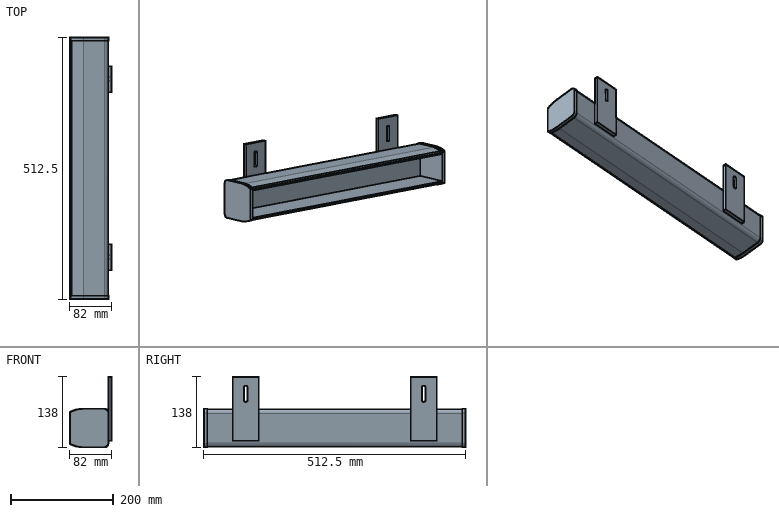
import cadquery as cq
import math

LENGTH = 512.5
CAP_THICKNESS = 6.5
CAP_DEPTH = 76.0
CAP_HEIGHT = 76.0
TOTAL_DEPTH = 82.0
TOTAL_HEIGHT = 138.0
HALF_HEIGHT = CAP_HEIGHT / 2

CROWN_START = 26.5
CROWN_DROP = 5.5
NOSE_SIZE = 1.5
BACK_RADIUS = 8.0

HOUSING_BACK = 75.5
HOUSING_INSET = 1.0
HOUSING_SLOPE_END = 3.5
HOUSING_SLOPE_DROP = 5.0
LIP_DROP = 7.5
OPENING_DROP = 11.0
BACK_WALL = 11.0

BRACKET_WIDTH = 51.5
BRACKET_BOTTOM = 13.0
BRACKET_END_OFFSET = 56.5
SLOT_WIDTH = 6.5
SLOT_LENGTH = 31.5
SLOT_TOP_OFFSET = 17.5

HOUSING_LENGTH = LENGTH - 2 * CAP_THICKNESS
HOUSING_BACK_RADIUS = BACK_RADIUS - (CAP_DEPTH - HOUSING_BACK)
BRACKET_THICKNESS = TOTAL_DEPTH - HOUSING_BACK
BRACKET_HEIGHT = TOTAL_HEIGHT - BRACKET_BOTTOM


def extrude_along_y(profile, start, length):
    """Extrude an XZ profile towards +Y, beginning at Y = start."""
    return profile.extrude(-length).translate((0, start, 0))


def make_cap(start):
    """End plate with curved front slopes and rounded back edges."""
    slope_run = CROWN_START - NOSE_SIZE
    slope_z = HALF_HEIGHT - CROWN_DROP
    radius = (slope_run**2 + CROWN_DROP**2) / (2 * CROWN_DROP)
    half_angle = math.asin(slope_run / radius) / 2
    mid_x = CROWN_START - radius * math.sin(half_angle)
    mid_z = HALF_HEIGHT - radius * (1 - math.cos(half_angle))
    profile = (
        cq.Workplane("XZ")
        .moveTo(CAP_DEPTH, -HALF_HEIGHT)
        .lineTo(CAP_DEPTH, HALF_HEIGHT)
        .lineTo(CROWN_START, HALF_HEIGHT)
        .threePointArc((mid_x, mid_z), (NOSE_SIZE, slope_z))
        .lineTo(0, slope_z - NOSE_SIZE)
        .lineTo(0, NOSE_SIZE - slope_z)
        .lineTo(NOSE_SIZE, -slope_z)
        .threePointArc((mid_x, -mid_z), (CROWN_START, -HALF_HEIGHT))
        .close()
    )
    cap = extrude_along_y(profile, start, CAP_THICKNESS)
    return cap.edges("|Y and >X").fillet(BACK_RADIUS)


def make_housing():
    """Channel between the caps, open at the front along its whole length."""
    top = HALF_HEIGHT - HOUSING_INSET
    slope_z = HALF_HEIGHT - HOUSING_SLOPE_DROP
    lip_z = HALF_HEIGHT - LIP_DROP
    opening_z = HALF_HEIGHT - OPENING_DROP
    cavity_back = HOUSING_BACK - BACK_WALL
    upper_points = [
        (HOUSING_BACK, top),
        (CROWN_START, top),
        (HOUSING_SLOPE_END, slope_z),
        (0, lip_z),
        (0, opening_z),
        (cavity_back, opening_z),
    ]
    lower_points = [(x, -z) for x, z in reversed(upper_points)]
    profile = cq.Workplane("XZ").polyline(upper_points + lower_points).close()
    housing = extrude_along_y(profile, CAP_THICKNESS - LENGTH / 2, HOUSING_LENGTH)
    return housing.edges("|Y and >X").fillet(HOUSING_BACK_RADIUS)


def make_bracket(center_y):
    """Upright plate on the back of the housing with one vertical slot."""
    bottom = BRACKET_BOTTOM - HALF_HEIGHT
    slot_center_z = bottom + BRACKET_HEIGHT - SLOT_TOP_OFFSET - SLOT_LENGTH / 2
    plate = (
        cq.Workplane("YZ", origin=(HOUSING_BACK, center_y, bottom + BRACKET_HEIGHT / 2))
        .rect(BRACKET_WIDTH, BRACKET_HEIGHT)
        .extrude(BRACKET_THICKNESS)
    )
    slot = (
        cq.Workplane("YZ", origin=(HOUSING_BACK, center_y, slot_center_z))
        .slot2D(SLOT_LENGTH, SLOT_WIDTH, 90)
        .extrude(BRACKET_THICKNESS)
    )
    return plate.cut(slot)


housing = make_housing()

cap_starts = [-LENGTH / 2, LENGTH / 2 - CAP_THICKNESS]
caps = [make_cap(start) for start in cap_starts]

bracket_y = LENGTH / 2 - BRACKET_END_OFFSET - BRACKET_WIDTH / 2
brackets = [make_bracket(side * bracket_y) for side in (-1, 1)]

result = cq.Compound.makeCompound(
    [housing.val()]
    + [cap.val() for cap in caps]
    + [bracket.val() for bracket in brackets]
)